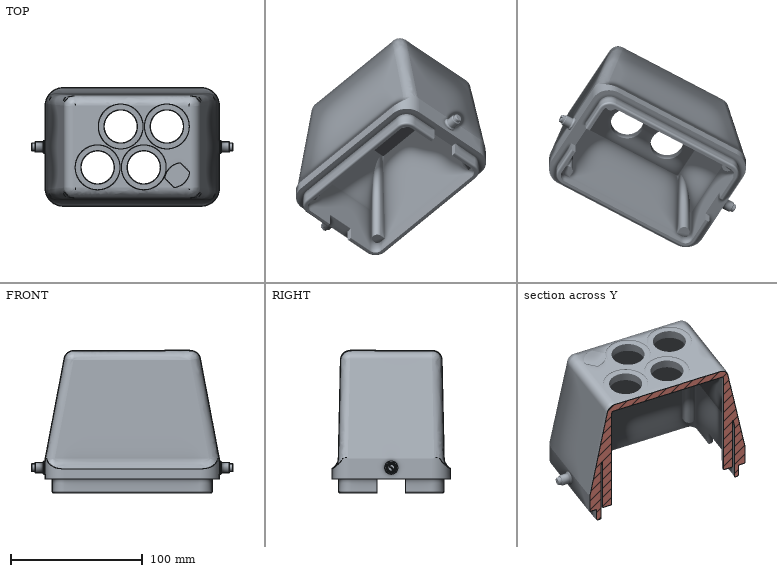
import cadquery as cq
import math

LIP_HEIGHT = 10.5
SHELF_Z = 17.5
TOP_Z = 108.0

FLANGE_X = 132.2
FLANGE_Y = 90.0
FLANGE_CORNER_R = 14.0

LIP_X = 121.4
LIP_Y = 80.0
LIP_CORNER_R = 9.3
LIP_EDGE_R = 1.5
NOTCH_Y = 21.4

HOOD_TOP_X = 101.0
HOOD_TOP_Y = 76.8
END_DRAFT = 10.75
SIDE_DRAFT = 1.25
HOOD_EDGE_R = 7.5
COVE_R = 8.5
SHELF_MARGIN = 3 * COVE_R

LIP_WALL = 3.5
ROOF_THICKNESS = 7.0
END_WALL = 5.0
SIDE_WALL = 4.0
CAVITY_CORNER_R = 1.0

POST_DIA = 8.0
POST_X = 51.3
POST_Y = 32.3

ENTRY_DIA = 25.0
ENTRY_SEAT_DIA = 34.0
ENTRY_SEAT_DEPTH = 0.5
ENTRY_PITCH = 35.0
ENTRY_ROW_Y = 15.5

PAD_HEIGHT = 0.5
PAD_X = 34.1
PAD_Y = -21.4
PAD_LENGTH = 16.6
PAD_END_WIDTH = 10.0
PAD_MID_WIDTH = 15.8
PAD_ANGLE = 45.0

PIN_Z = 19.2
PIN_TIP_X = 76.5
COLLAR_DIA = 10.0
COLLAR_X = 66.9
SHAFT_DIA = 8.0
SHAFT_START_X = 67.7
SHAFT_END_X = 73.8
SHAFT_END_DIA = 7.3
TIP_DIA = 6.0
TIP_CHAMFER = 0.5
PIN_ROOT_X = 64.0
SLOT_WIDTH = 0.8
SLOT_DEPTH = 0.6
SLOT_ANGLE = -45.0

PICK_TOLERANCE = 0.1


def tapered_block(top_x, top_y, top_z, bottom_z, end_draft, side_draft):
    """Four-sided block that widens downwards by a separate draft angle in X and in Y."""
    height = top_z - bottom_z
    bottom_x = top_x + 2 * height * math.tan(math.radians(end_draft))
    bottom_y = top_y + 2 * height * math.tan(math.radians(side_draft))
    return (
        cq.Workplane("XY", origin=(0, 0, bottom_z))
        .rect(bottom_x, bottom_y)
        .workplane(offset=height)
        .rect(top_x, top_y)
        .loft(ruled=True, combine=True)
    )


def rounded_prism(size_x, size_y, corner_r, bottom_z, top_z):
    """Upright rectangular prism with rounded vertical corners."""
    return (
        cq.Workplane("XY", origin=(0, 0, bottom_z))
        .rect(size_x, size_y)
        .extrude(top_z - bottom_z)
        .edges("|Z")
        .fillet(corner_r)
    )


def make_hood():
    """Tapered hood that sweeps out through a cove into the flange band."""
    hood = tapered_block(HOOD_TOP_X, HOOD_TOP_Y, TOP_Z, LIP_HEIGHT, END_DRAFT, SIDE_DRAFT)
    hood = hood.edges("not #Z").fillet(HOOD_EDGE_R)
    hood = hood.faces(">Z").edges().fillet(HOOD_EDGE_R)

    shelf = (
        cq.Workplane("XY", origin=(0, 0, LIP_HEIGHT))
        .rect(FLANGE_X + 2 * SHELF_MARGIN, FLANGE_Y + 2 * SHELF_MARGIN)
        .extrude(SHELF_Z - LIP_HEIGHT)
    )
    hood = hood.union(shelf)
    reach_x = FLANGE_X / 2 + COVE_R
    reach_y = FLANGE_Y / 2 + COVE_R
    foot_box = cq.selectors.BoxSelector(
        (-reach_x, -reach_y, SHELF_Z - PICK_TOLERANCE),
        (reach_x, reach_y, SHELF_Z + PICK_TOLERANCE),
    )
    hood = hood.edges(foot_box).fillet(COVE_R)
    return hood.intersect(rounded_prism(FLANGE_X, FLANGE_Y, FLANGE_CORNER_R, LIP_HEIGHT, TOP_Z))


def make_lip():
    """Plug-in lip below the flange, rounded at its bottom rim."""
    lip = rounded_prism(LIP_X, LIP_Y, LIP_CORNER_R, 0, LIP_HEIGHT)
    return lip.faces("<Z").edges().fillet(LIP_EDGE_R)


def make_posts():
    """Round-fronted posts that run back into the long side walls."""
    height = TOP_Z - LIP_HEIGHT
    posts = cq.Workplane("XY")
    for side_x in (-1, 1):
        for side_y in (-1, 1):
            base = cq.Workplane("XY", origin=(side_x * POST_X, side_y * POST_Y, LIP_HEIGHT))
            column = base.circle(POST_DIA / 2).extrude(height)
            web = base.center(0, side_y * POST_DIA / 2).rect(POST_DIA, POST_DIA).extrude(height)
            posts = posts.add(column.union(web))
    return posts.combine()


def make_cavity():
    """Inner space: follows the tapered walls, but no wider than the lip opening."""
    roof_z = TOP_Z - ROOF_THICKNESS
    widening_x = 2 * ROOF_THICKNESS * math.tan(math.radians(END_DRAFT))
    widening_y = 2 * ROOF_THICKNESS * math.tan(math.radians(SIDE_DRAFT))
    tapered = tapered_block(
        HOOD_TOP_X + widening_x - 2 * END_WALL,
        HOOD_TOP_Y + widening_y - 2 * SIDE_WALL,
        roof_z,
        0,
        END_DRAFT,
        SIDE_DRAFT,
    )
    tapered = tapered.edges("not #Z").fillet(CAVITY_CORNER_R)
    opening = rounded_prism(
        LIP_X - 2 * LIP_WALL, LIP_Y - 2 * LIP_WALL, LIP_CORNER_R - LIP_WALL, 0, roof_z
    )
    return tapered.intersect(opening).cut(make_posts())


def make_notches():
    """Slot across the lip in X, leaving a gap in the middle of each end."""
    return cq.Workplane("XY").rect(FLANGE_X, NOTCH_Y).extrude(LIP_HEIGHT)


def make_entries():
    """Through holes with shallow seats; the two rows are offset by half a pitch."""
    half = ENTRY_PITCH / 2
    quarter = ENTRY_PITCH / 4
    centres = []
    for row in (-1, 1):
        for step in (-half, half):
            centres.append((row * quarter + step, row * ENTRY_ROW_Y))
    top = cq.Workplane("XY", origin=(0, 0, TOP_Z)).pushPoints(centres)
    seats = top.circle(ENTRY_SEAT_DIA / 2).extrude(-ENTRY_SEAT_DEPTH)
    holes = top.circle(ENTRY_DIA / 2).extrude(-2 * ROOF_THICKNESS)
    return seats.union(holes)


def make_pad():
    """Raised plate with straight ends and bulging sides."""
    end = PAD_LENGTH / 2
    width = PAD_END_WIDTH / 2
    bulge = PAD_MID_WIDTH / 2
    pad = (
        cq.Workplane("XY")
        .moveTo(-end, -width)
        .threePointArc((0, -bulge), (end, -width))
        .lineTo(end, width)
        .threePointArc((0, bulge), (-end, width))
        .close()
        .extrude(2 * PAD_HEIGHT)
    )
    pad = pad.rotate((0, 0, 0), (0, 0, 1), PAD_ANGLE)
    return pad.translate((PAD_X, PAD_Y, TOP_Z - PAD_HEIGHT))


def make_pin():
    """Turned pin on the +X end: collar, shaft and slotted tip."""
    shaft_chamfer = (SHAFT_DIA - SHAFT_END_DIA) / 2
    profile = [
        (PIN_ROOT_X, 0),
        (PIN_ROOT_X, COLLAR_DIA / 2),
        (COLLAR_X, COLLAR_DIA / 2),
        (SHAFT_START_X, SHAFT_DIA / 2),
        (SHAFT_END_X - shaft_chamfer, SHAFT_DIA / 2),
        (SHAFT_END_X, SHAFT_END_DIA / 2),
        (SHAFT_END_X, TIP_DIA / 2),
        (PIN_TIP_X - TIP_CHAMFER, TIP_DIA / 2),
        (PIN_TIP_X, TIP_DIA / 2 - TIP_CHAMFER),
        (PIN_TIP_X, 0),
    ]
    pin = cq.Workplane("XY").polyline(profile).close().revolve(360, (0, 0, 0), (1, 0, 0))
    slot = cq.Workplane("XY").box(2 * SLOT_DEPTH, 2 * TIP_DIA, SLOT_WIDTH)
    slot = slot.rotate((0, 0, 0), (1, 0, 0), SLOT_ANGLE).translate((PIN_TIP_X, 0, 0))
    return pin.cut(slot).translate((0, 0, PIN_Z))


pin = make_pin()
opposite_pin = pin.rotate((0, 0, 0), (0, 0, 1), 180)
result = make_hood().union(make_lip()).cut(make_cavity()).cut(make_notches()).cut(make_entries())
result = result.union(pin).union(opposite_pin).union(make_pad())